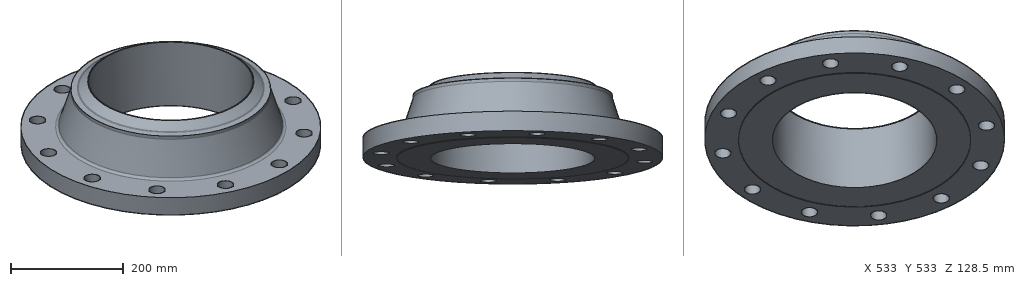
import cadquery as cq

flange_diameter = 533.0
flange_thickness = 35.0
raised_face_diameter = 413.0
raised_face_height = 1.5

bolt_count = 12
bolt_circle_diameter = 476.0
bolt_hole_diameter = 29.0

total_height = 128.5
bore_diameter = 292.0
hub_base_diameter = 401.0
hub_base_fillet = 6.0
neck_diameter = 355.0
neck_bottom_z = 106.5
shoulder_outer_z = 113.0

bevel_base_diameter = 330.5
bevel_base_z = 114.5
bevel_base_fillet = 2.5
land_width = 1.5

match_tolerance = 0.05

flange_top_z = raised_face_height + flange_thickness


def revolved_body():
    """Flange, tapered hub and bevelled neck, with the bore left open."""
    bore_radius = bore_diameter / 2
    profile = (
        cq.Workplane("XZ")
        .moveTo(bore_radius, 0)
        .lineTo(raised_face_diameter / 2, 0)
        .lineTo(raised_face_diameter / 2, raised_face_height)
        .lineTo(flange_diameter / 2, raised_face_height)
        .lineTo(flange_diameter / 2, flange_top_z)
        .lineTo(hub_base_diameter / 2, flange_top_z)
        .lineTo(neck_diameter / 2, neck_bottom_z)
        .lineTo(neck_diameter / 2, shoulder_outer_z)
        .lineTo(bevel_base_diameter / 2, bevel_base_z)
        .lineTo(bore_radius + land_width, total_height)
        .lineTo(bore_radius, total_height)
        .close()
    )
    return profile.revolve(360, (0, 0, 0), (0, 1, 0))


def fillet_ring(body, diameter, height, fillet_radius):
    """Round the circular edge that has the given diameter at the given height."""
    ring = (
        body.edges("%CIRCLE")
        .filter(lambda edge: abs(edge.radius() - diameter / 2) < match_tolerance)
        .filter(lambda edge: abs(edge.Center().z - height) < match_tolerance)
    )
    return ring.fillet(fillet_radius)


def drill_bolt_holes(body):
    """Through holes spaced evenly on the bolt circle, the first on +X."""
    holes = (
        cq.Workplane("XY")
        .polarArray(bolt_circle_diameter / 2, 0, 360, bolt_count)
        .circle(bolt_hole_diameter / 2)
        .extrude(flange_top_z)
    )
    return body.cut(holes)


result = revolved_body()
result = fillet_ring(result, hub_base_diameter, flange_top_z, hub_base_fillet)
result = fillet_ring(result, bevel_base_diameter, bevel_base_z, bevel_base_fillet)
result = drill_bolt_holes(result)